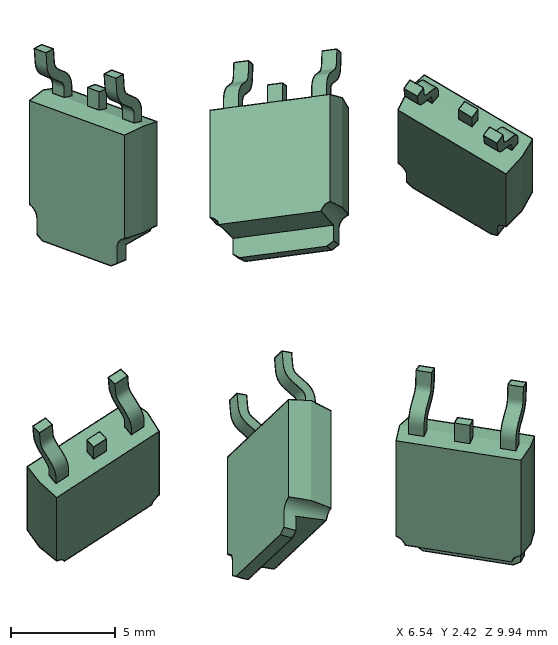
import cadquery as cq
import math


body_width = 6.54
body_depth = 2.29
body_top = 7.19
draft_inset = 0.16
back_bottom = 1.22
half_width = body_width / 2
half_depth = body_depth / 2

tab_width = 5.23
tab_thickness = 0.66
tab_chamfer_x = 0.37
tab_chamfer_z = 0.23
tab_half_width = tab_width / 2
tab_back = tab_thickness - half_depth

notch_radius = half_width - tab_half_width
notch_top = 1.67
tab_root = notch_top - notch_radius

lead_width = 0.78
lead_thickness = 0.53
lead_offset = 2.29
lead_root = 5.96
stub_top = 8.14
lead_top = 9.94
lead_front = -1.27
bend_inner_radius = 0.52
bend_outer_radius = bend_inner_radius + lead_thickness
slant_angle = math.radians(58)
tip_angle = math.radians(5)
tip_length = 0.75


def make_body():
    """Block with drafted sides and top, and a sloping lower end."""
    plan = (
        cq.Workplane("XY")
        .polyline([
            (half_width, 0),
            (half_width - draft_inset, half_depth),
            (draft_inset - half_width, half_depth),
            (-half_width, 0),
            (draft_inset - half_width, -half_depth),
            (half_width - draft_inset, -half_depth),
        ])
        .close()
        .extrude(body_top)
    )
    side = (
        cq.Workplane("YZ", origin=(-half_width, 0, 0))
        .polyline([
            (0, body_top),
            (half_depth, body_top - draft_inset),
            (half_depth, back_bottom),
            (tab_back, tab_root),
            (-half_depth, tab_root),
            (-half_depth, body_top - draft_inset),
        ])
        .close()
        .extrude(body_width)
    )
    notches = (
        cq.Workplane("XZ", origin=(0, half_depth, 0))
        .pushPoints([(-half_width, tab_root), (half_width, tab_root)])
        .circle(notch_radius)
        .extrude(body_depth)
    )
    return plan.intersect(side).cut(notches)


def make_tab():
    """Flat tab below the body with its two lower corners cut off."""
    return (
        cq.Workplane("XZ", origin=(0, tab_back, 0))
        .moveTo(-tab_half_width, tab_root)
        .lineTo(-tab_half_width, tab_chamfer_z)
        .lineTo(tab_chamfer_x - tab_half_width, 0)
        .lineTo(tab_half_width - tab_chamfer_x, 0)
        .lineTo(tab_half_width, tab_chamfer_z)
        .lineTo(tab_half_width, tab_root)
        .close()
        .extrude(tab_thickness)
    )


def make_stub():
    """Short straight middle lead."""
    return (
        cq.Workplane("XY", origin=(0, lead_thickness / 2, lead_root))
        .rect(lead_width, lead_thickness)
        .extrude(stub_top - lead_root)
    )


def on_arc(center, radius, angle):
    """Point on a circle in the YZ plane, with the angle measured from +Y towards +Z."""
    return (center[0] + radius * math.cos(angle), center[1] + radius * math.sin(angle))


def make_bent_lead(x):
    """Lead that rises straight, bends forward, then bends back to a nearly vertical tip."""
    tip_front = (lead_front, lead_top - lead_thickness * math.sin(tip_angle))
    tip_back = (lead_front + lead_thickness * math.cos(tip_angle), lead_top)

    tip_base = (
        tip_back[0] + tip_length * math.sin(tip_angle),
        tip_back[1] - tip_length * math.cos(tip_angle),
    )
    upper = on_arc(tip_base, bend_inner_radius, tip_angle)
    upper_start = math.pi + slant_angle
    upper_end = math.pi + tip_angle
    upper_mid = (upper_start + upper_end) / 2

    lower_y = -bend_inner_radius
    radius_sum = bend_inner_radius + bend_outer_radius
    slant_depth = lower_y - upper[0] + radius_sum * math.cos(slant_angle)
    slant_rise = slant_depth / math.tan(slant_angle)
    lower = (lower_y, upper[1] - slant_rise - radius_sum * math.sin(slant_angle))
    lower_mid = slant_angle / 2

    return (
        cq.Workplane("YZ", origin=(x - lead_width / 2, 0, 0))
        .moveTo(lead_thickness, lead_root)
        .lineTo(*on_arc(lower, bend_outer_radius, 0))
        .threePointArc(
            on_arc(lower, bend_outer_radius, lower_mid),
            on_arc(lower, bend_outer_radius, slant_angle),
        )
        .lineTo(*on_arc(upper, bend_inner_radius, upper_start))
        .threePointArc(
            on_arc(upper, bend_inner_radius, upper_mid),
            on_arc(upper, bend_inner_radius, upper_end),
        )
        .lineTo(*tip_back)
        .lineTo(*tip_front)
        .lineTo(*on_arc(upper, bend_outer_radius, upper_end))
        .threePointArc(
            on_arc(upper, bend_outer_radius, upper_mid),
            on_arc(upper, bend_outer_radius, upper_start),
        )
        .lineTo(*on_arc(lower, bend_inner_radius, slant_angle))
        .threePointArc(
            on_arc(lower, bend_inner_radius, lower_mid),
            on_arc(lower, bend_inner_radius, 0),
        )
        .lineTo(0, lead_root)
        .close()
        .extrude(lead_width)
    )


result = make_body().union(make_tab()).union(make_stub())
for lead_x in (-lead_offset, lead_offset):
    result = result.union(make_bent_lead(lead_x))